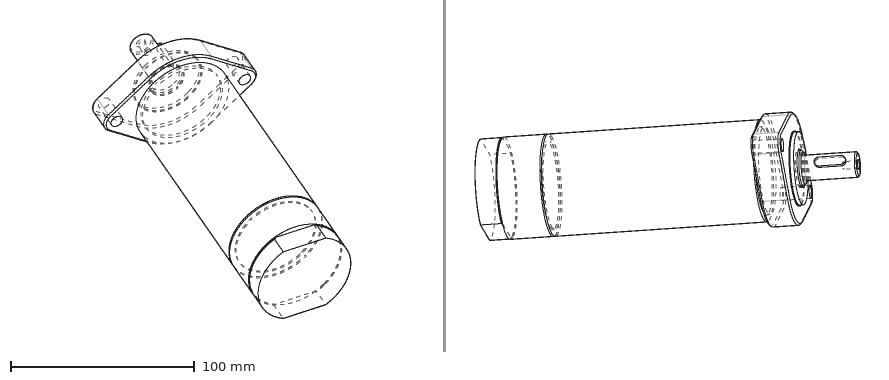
import cadquery as cq
import math

shoulder_front = 30.0
pilot_front = 32.0
pilot_base_front = 34.0
flange_front = 34.5
flange_back = 50.5
body_front = 52.7
body_groove_front = 170.2
body_groove_back = 171.2
cap_front = 195.0
overall_length = 207.3

shaft_diameter = 14.0
shaft_chamfer = 0.8
shaft_fillet = 1.5
shoulder_diameter = 20.0
shoulder_chamfer = 1.0
shoulder_gap_diameter = 21.0
shoulder_gap_depth = 1.0
center_hole_diameter = 4.1
center_hole_depth = 8.3
countersink_diameter = 5.4
countersink_depth = 1.0
drill_point_angle = 118.0

key_front = 5.4
key_length = 17.5
key_width = 5.2
key_top = 9.0

flange_width = 92.0
flange_height = 62.0
flange_ear_radius = 7.5
flange_chamfer = 1.0
mounting_hole_diameter = 7.0
pilot_diameter = 40.0
pilot_base_diameter = 41.0

neck_diameter = 48.0
body_diameter = 56.0
body_groove_diameter = 48.3
cap_groove_width = 0.6
cap_groove_diameter = 55.1
cap_across_flats = 49.8


def cylinder(start, end, diameter):
    """Solid cylinder on the motor axis between two X stations."""
    return cq.Workplane("YZ").workplane(offset=start).circle(diameter / 2).extrude(end - start)


def make_shaft():
    """Revolved shaft: chamfered tip, concave fillet up to a chamfered shoulder."""
    radius = shaft_diameter / 2
    shoulder_radius = shoulder_diameter / 2
    fillet_top = radius + shaft_fillet
    fillet_start = shoulder_front - shaft_fillet
    fillet_middle = (
        fillet_start + shaft_fillet * math.sin(math.radians(45)),
        fillet_top - shaft_fillet * math.cos(math.radians(45)),
    )
    shaft = (
        cq.Workplane("XY")
        .moveTo(0, 0)
        .lineTo(0, radius - shaft_chamfer)
        .lineTo(shaft_chamfer, radius)
        .lineTo(fillet_start, radius)
        .threePointArc(fillet_middle, (shoulder_front, fillet_top))
        .lineTo(shoulder_front, shoulder_radius - shoulder_chamfer)
        .lineTo(shoulder_front + shoulder_chamfer, shoulder_radius)
        .lineTo(flange_front, shoulder_radius)
        .lineTo(flange_front, 0)
        .close()
        .revolve(360, (0, 0, 0), (1, 0, 0))
    )
    return shaft.cut(make_center_hole())


def make_center_hole():
    """Blind countersunk hole in the shaft tip with a conical bottom."""
    radius = center_hole_diameter / 2
    point_length = radius / math.tan(math.radians(drill_point_angle / 2))
    return (
        cq.Workplane("XY")
        .moveTo(0, 0)
        .lineTo(0, countersink_diameter / 2)
        .lineTo(countersink_depth, radius)
        .lineTo(center_hole_depth, radius)
        .lineTo(center_hole_depth + point_length, 0)
        .close()
        .revolve(360, (0, 0, 0), (1, 0, 0))
    )


def make_pilot():
    """Locating pilot with a wider base and a ring gap around the shaft shoulder."""
    pilot = cylinder(pilot_front, pilot_base_front, pilot_diameter)
    pilot = pilot.union(cylinder(pilot_base_front, flange_front, pilot_base_diameter))
    return pilot.cut(cylinder(pilot_front, pilot_front + shoulder_gap_depth, shoulder_gap_diameter))


def make_key():
    """Round-ended key rising from the shaft axis toward +Y."""
    return (
        cq.Workplane("XZ")
        .center(key_front + key_length / 2, 0)
        .slot2D(key_length, key_width)
        .extrude(-key_top)
    )


def make_flange():
    """Two-ear flange: central arcs joined to the ear arcs by tangent lines."""
    center_radius = flange_height / 2
    ear_offset = flange_width / 2 - flange_ear_radius
    tangent_angle = math.acos((center_radius - flange_ear_radius) / ear_offset)
    normal_y = math.cos(tangent_angle)
    normal_z = math.sin(tangent_angle)
    center_y = center_radius * normal_y
    center_z = center_radius * normal_z
    ear_y = ear_offset + flange_ear_radius * normal_y
    ear_z = flange_ear_radius * normal_z
    return (
        cq.Workplane("YZ")
        .workplane(offset=flange_front)
        .moveTo(center_y, center_z)
        .threePointArc((0, center_radius), (-center_y, center_z))
        .lineTo(-ear_y, ear_z)
        .threePointArc((-flange_width / 2, 0), (-ear_y, -ear_z))
        .lineTo(-center_y, -center_z)
        .threePointArc((0, -center_radius), (center_y, -center_z))
        .lineTo(ear_y, -ear_z)
        .threePointArc((flange_width / 2, 0), (ear_y, ear_z))
        .close()
        .extrude(flange_back - flange_front)
        .faces("<X or >X")
        .chamfer(flange_chamfer)
        .faces("<X")
        .workplane(origin=(flange_front, 0, 0))
        .pushPoints([(-ear_offset, 0), (ear_offset, 0)])
        .hole(mounting_hole_diameter)
    )


def make_end_cap():
    """Rear cap with a narrow groove at its front and flats on +Z and -Z."""
    groove_back = cap_front + cap_groove_width
    cap = cylinder(cap_front, groove_back, cap_groove_diameter)
    cap = cap.union(cylinder(groove_back, overall_length, body_diameter))
    cap_length = overall_length - cap_front
    between_flats = cq.Workplane("XY").box(cap_length, body_diameter, cap_across_flats)
    return cap.intersect(between_flats.translate((cap_front + cap_length / 2, 0, 0)))


coaxial_sections = [
    (flange_back, body_front, neck_diameter),
    (body_front, body_groove_front, body_diameter),
    (body_groove_front, body_groove_back, body_groove_diameter),
    (body_groove_back, cap_front, body_diameter),
]

key = make_key().cut(make_center_hole())
result = make_shaft().union(key).union(make_pilot()).union(make_flange())
for front, back, diameter in coaxial_sections:
    result = result.union(cylinder(front, back, diameter))
result = result.union(make_end_cap())